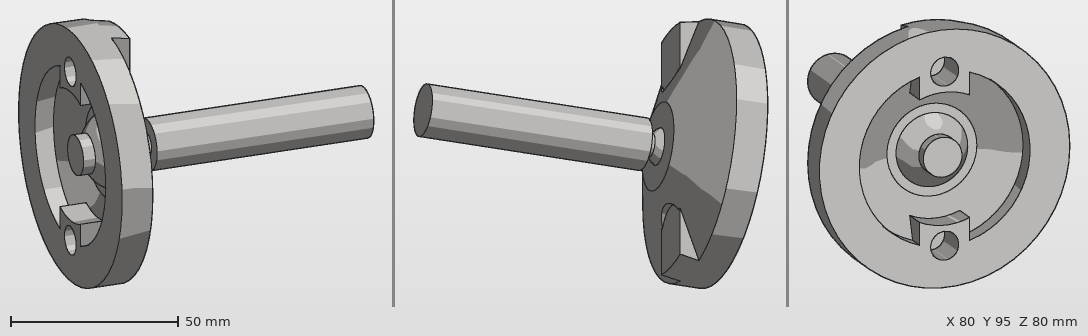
import cadquery as cq
import math

TOTAL_LENGTH = 95.0

FOOT_RADIUS = 40.0
RIM_HEIGHT = 10.0
FOOT_HEIGHT = 20.0
CROWN_RADIUS = 13.5

RECESS_RADIUS = 27.3
RECESS_WALL_HEIGHT = 6.0
RECESS_CEILING = 10.8
CEILING_RADIUS = 14.3

BALL_CENTRE = 17.0
BALL_RADIUS = 6.5
BOSS_RADIUS = 13.0
STUB_RADIUS = 6.2
STUB_END = 1.7

LUG_WIDTH = 16.0
LUG_HEIGHT = 16.0
LUG_TOP_RADIUS = 38.9
LUG_INNER_RADIUS = 20.6
FIXING_OFFSET = 27.0
FIXING_RADIUS = 4.5
FIXING_DEPTH = 12.0

STEM_RADIUS = LUG_WIDTH / 2
STEM_START = 24.8
NECK_RADIUS = 3.6


def revolve_about_y(profile):
    """Turn a closed XY profile about the Y axis."""
    return profile.close().revolve(360, (0, 0, 0), (0, 1, 0))


def cylinder(radius, start, end, z=0):
    """Make a cylinder along +Y between two heights."""
    return cq.Workplane("XY").add(
        cq.Solid.makeCylinder(radius, end - start, cq.Vector(0, start, z), cq.Vector(0, 1, 0))
    )


def ball(radius):
    """Make a sphere at the centre of the ball joint."""
    return cq.Workplane("XY").sphere(radius).translate((0, BALL_CENTRE, 0))


def make_shell():
    """Make the coned foot with its hollow underside."""
    outer = revolve_about_y(
        cq.Workplane("XY").polyline([
            (0, 0),
            (FOOT_RADIUS, 0),
            (FOOT_RADIUS, RIM_HEIGHT),
            (CROWN_RADIUS, FOOT_HEIGHT),
            (0, FOOT_HEIGHT),
        ])
    )
    recess = revolve_about_y(
        cq.Workplane("XY").polyline([
            (0, 0),
            (RECESS_RADIUS, 0),
            (RECESS_RADIUS, RECESS_WALL_HEIGHT),
            (CEILING_RADIUS, RECESS_CEILING),
            (0, RECESS_CEILING),
        ])
    )
    return outer.cut(recess)


def make_lugs():
    """Make both lugs as a strip of a ring with a tapered outer wall."""
    ring = revolve_about_y(
        cq.Workplane("XY").polyline([
            (LUG_INNER_RADIUS, 0),
            (FOOT_RADIUS, 0),
            (FOOT_RADIUS, RIM_HEIGHT),
            (LUG_TOP_RADIUS, LUG_HEIGHT),
            (LUG_INNER_RADIUS, LUG_HEIGHT),
        ])
    )
    strip = cq.Workplane("XY").box(LUG_WIDTH, LUG_HEIGHT, 2 * FOOT_RADIUS)
    return ring.intersect(strip.translate((0, LUG_HEIGHT / 2, 0)))


def make_socket_boss():
    """Make the round underside of the socket and the stub below it."""
    cap = ball(BOSS_RADIUS).intersect(cylinder(BOSS_RADIUS, 0, RECESS_CEILING))
    stub = cylinder(STUB_RADIUS, STUB_END, RECESS_CEILING)
    return cap.union(stub)


def make_foot():
    """Join the features of the foot, then cut the fixing holes and ball socket."""
    foot = make_shell().union(make_lugs()).union(make_socket_boss())
    for z in (-FIXING_OFFSET, FIXING_OFFSET):
        spotface = cylinder(LUG_WIDTH / 2, LUG_HEIGHT, FOOT_HEIGHT, z)
        fixing_hole = cylinder(FIXING_RADIUS, 0, FIXING_DEPTH, z)
        foot = foot.cut(spotface).cut(fixing_hole)
    return foot.cut(ball(BALL_RADIUS))


def make_stem():
    """Make the ball, neck and cylindrical shank as one body."""
    neck_start = BALL_CENTRE + math.sqrt(BALL_RADIUS**2 - NECK_RADIUS**2)
    return revolve_about_y(
        cq.Workplane("XY")
        .moveTo(0, BALL_CENTRE - BALL_RADIUS)
        .threePointArc((BALL_RADIUS, BALL_CENTRE), (NECK_RADIUS, neck_start))
        .lineTo(NECK_RADIUS, STEM_START)
        .lineTo(STEM_RADIUS, STEM_START)
        .lineTo(STEM_RADIUS, TOTAL_LENGTH)
        .lineTo(0, TOTAL_LENGTH)
    )


foot = make_foot()
stem = make_stem()

result = cq.Compound.makeCompound([foot.solids().val(), stem.val()])